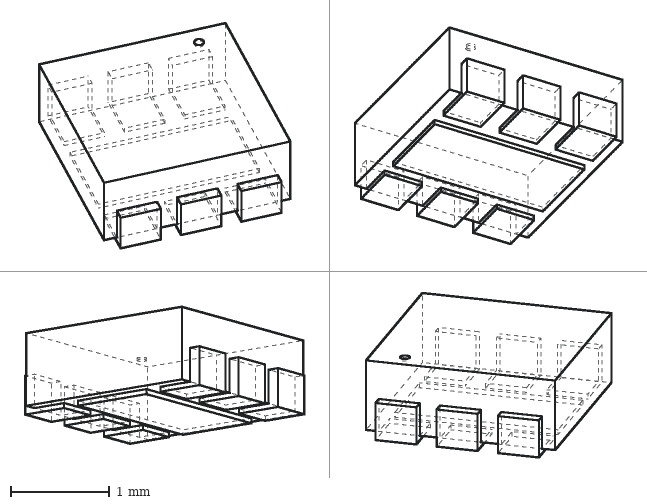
import cadquery as cq

overall_length = 2.25
overall_height = 0.81
body_side = 2.01
standoff = 0.052

terminal_width = 0.435
terminal_height = 0.405
terminal_foot_length = 0.505
terminal_pitch = 0.65
terminals_per_side = 3
terminal_wall = (overall_length - body_side) / 2

pad_length = 0.88
pad_width = (terminals_per_side - 1) * terminal_pitch + terminal_width

marker_diameter = 0.1
marker_depth = 0.022
marker_x = -0.803
marker_y = 0.65


def make_marker():
    return (
        cq.Workplane("XY", origin=(marker_x, marker_y, overall_height - marker_depth))
        .circle(marker_diameter / 2)
        .extrude(marker_depth)
    )


def make_body(marker):
    """Square block with a recess that holds the marker."""
    block = (
        cq.Workplane("XY", origin=(0, 0, standoff))
        .rect(body_side, body_side)
        .extrude(overall_height - standoff)
    )
    return block.cut(marker)


def make_terminal(side, y_center):
    """Wall up the body side and a foot under the body; side is -1 or +1 along X."""
    outer_x = side * overall_length / 2
    wall_x = side * (overall_length / 2 - terminal_wall)
    foot_x = side * (overall_length / 2 - terminal_foot_length)
    profile = [
        (outer_x, 0),
        (outer_x, terminal_height),
        (wall_x, terminal_height),
        (wall_x, standoff),
        (foot_x, standoff),
        (foot_x, 0),
    ]
    return (
        cq.Workplane("XZ", origin=(0, y_center, 0))
        .polyline(profile)
        .close()
        .extrude(terminal_width / 2, both=True)
    )


def make_pad():
    return cq.Workplane("XY").rect(pad_length, pad_width).extrude(standoff)


marker = make_marker()
body = make_body(marker)
pad = make_pad()

terminals = []
for side in (-1, 1):
    for index in range(terminals_per_side):
        y_center = (index - (terminals_per_side - 1) / 2) * terminal_pitch
        terminals.append(make_terminal(side, y_center).val())

result = cq.Compound.makeCompound([body.val(), marker.val(), pad.val(), *terminals])